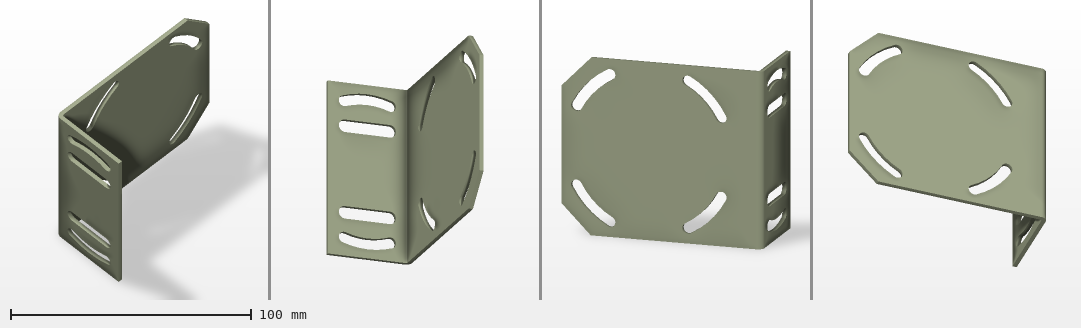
import cadquery as cq
import math

SHEET = 1.897
INNER_BEND_RADIUS = 0.762
OUTER_BEND_RADIUS = INNER_BEND_RADIUS + SHEET

HEIGHT = 76.2
SHORT_FLANGE_LENGTH = 36.96
LONG_FLANGE_LENGTH = 87.76
CORNER_CHAMFER = 12.7

ARC_SLOT_WIDTH = 4.7625

BOLT_SQUARE = 50.8
LONG_ARC_RADIUS = BOLT_SQUARE / math.sqrt(2)
LONG_ARC_HALF_ANGLE = 16.7
LONG_ARC_MID_ANGLES = (45, 135, 225, 315)
LONG_ARC_CENTRE_Y = LONG_FLANGE_LENGTH - HEIGHT / 2

SHORT_SLOT_EDGE_DISTANCE = 17.5
SHORT_SLOT_CENTRE_X = SHORT_FLANGE_LENGTH - SHORT_SLOT_EDGE_DISTANCE
SHORT_SLOT_LENGTH = 25.3
STRAIGHT_SLOT_WIDTH = 5.5
STRAIGHT_SLOT_SPACING = 38.1
SHORT_ARC_RADIUS = 31.75
SHORT_ARC_MID_ANGLES = (90, 270)
SHORT_ARC_HALF_ANGLE = math.degrees(
    math.asin((SHORT_SLOT_LENGTH - ARC_SLOT_WIDTH) / 2 / SHORT_ARC_RADIUS)
)


def bent_sheet():
    """L-shaped sheet, rounded inside and outside the bend."""
    return (
        cq.Workplane("XY", origin=(0, 0, -HEIGHT / 2))
        .moveTo(OUTER_BEND_RADIUS, 0)
        .lineTo(SHORT_FLANGE_LENGTH, 0)
        .lineTo(SHORT_FLANGE_LENGTH, SHEET)
        .lineTo(OUTER_BEND_RADIUS, SHEET)
        .radiusArc((SHEET, OUTER_BEND_RADIUS), INNER_BEND_RADIUS)
        .lineTo(SHEET, LONG_FLANGE_LENGTH)
        .lineTo(0, LONG_FLANGE_LENGTH)
        .lineTo(0, OUTER_BEND_RADIUS)
        .radiusArc((OUTER_BEND_RADIUS, 0), -OUTER_BEND_RADIUS)
        .close()
        .extrude(HEIGHT)
    )


def polar(radius, angle):
    """Point at a radius and an angle in degrees."""
    turn = math.radians(angle)
    return (radius * math.cos(turn), radius * math.sin(turn))


def arc_slot(plane, radius, mid_angle, half_angle):
    """Cutter for a round-ended slot that follows a circle about the plane's origin."""
    inner = radius - ARC_SLOT_WIDTH / 2
    outer = radius + ARC_SLOT_WIDTH / 2
    start = mid_angle - half_angle
    end = mid_angle + half_angle
    start_x, start_y = polar(radius, start)
    end_x, end_y = polar(radius, end)
    start_tip_x, start_tip_y = polar(ARC_SLOT_WIDTH / 2, start - 90)
    end_tip_x, end_tip_y = polar(ARC_SLOT_WIDTH / 2, end + 90)
    return (
        plane.moveTo(*polar(outer, start))
        .threePointArc(polar(outer, mid_angle), polar(outer, end))
        .threePointArc((end_x + end_tip_x, end_y + end_tip_y), polar(inner, end))
        .threePointArc(polar(inner, mid_angle), polar(inner, start))
        .threePointArc((start_x + start_tip_x, start_y + start_tip_y), polar(outer, start))
        .close()
        .extrude(SHEET)
    )


def cut_long_flange_slots(body):
    plane = cq.Workplane("YZ", origin=(0, LONG_ARC_CENTRE_Y, 0))
    for mid_angle in LONG_ARC_MID_ANGLES:
        body = body.cut(arc_slot(plane, LONG_ARC_RADIUS, mid_angle, LONG_ARC_HALF_ANGLE))
    return body


def cut_short_flange_slots(body):
    plane = cq.Workplane("XZ", origin=(SHORT_SLOT_CENTRE_X, SHEET, 0))
    for mid_angle in SHORT_ARC_MID_ANGLES:
        body = body.cut(arc_slot(plane, SHORT_ARC_RADIUS, mid_angle, SHORT_ARC_HALF_ANGLE))
    straight_slots = (
        plane.pushPoints([(0, -STRAIGHT_SLOT_SPACING / 2), (0, STRAIGHT_SLOT_SPACING / 2)])
        .slot2D(SHORT_SLOT_LENGTH, STRAIGHT_SLOT_WIDTH)
        .extrude(SHEET)
    )
    return body.cut(straight_slots)


def chamfer_long_flange_corners(body):
    """Cut both free corners of the long flange at 45 degrees."""
    return body.faces(">Y").edges("|X").chamfer(CORNER_CHAMFER)


result = bent_sheet()
result = chamfer_long_flange_corners(result)
result = cut_long_flange_slots(result)
result = cut_short_flange_slots(result)